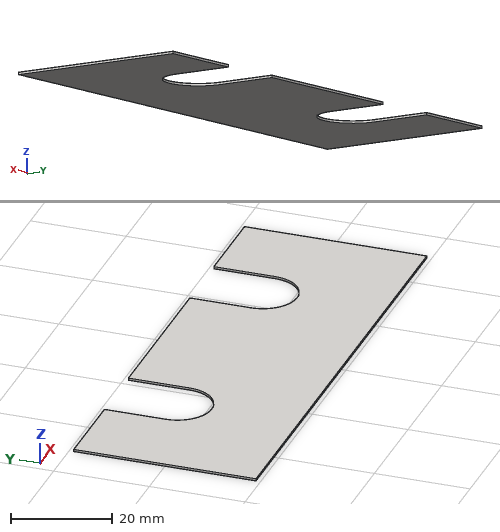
import cadquery as cq

length = 101.6
width = 38.1
thickness = 0.5
slot_width = 14.2
slot_depth = 19.9
slot_spacing = length / 2

slot_radius = slot_width / 2
back_edge_y = width / 2
arc_center_y = back_edge_y - slot_depth + slot_radius


def slot_cutter(center_x):
    """Open slot: straight sides from the back edge, ending in a half circle."""
    return (
        cq.Workplane("XY")
        .moveTo(center_x - slot_radius, back_edge_y)
        .lineTo(center_x - slot_radius, arc_center_y)
        .threePointArc(
            (center_x, arc_center_y - slot_radius),
            (center_x + slot_radius, arc_center_y),
        )
        .lineTo(center_x + slot_radius, back_edge_y)
        .close()
        .extrude(thickness)
    )


plate = cq.Workplane("XY").box(length, width, thickness, centered=(True, True, False))
for side in (-1, 1):
    plate = plate.cut(slot_cutter(side * slot_spacing / 2))

result = plate